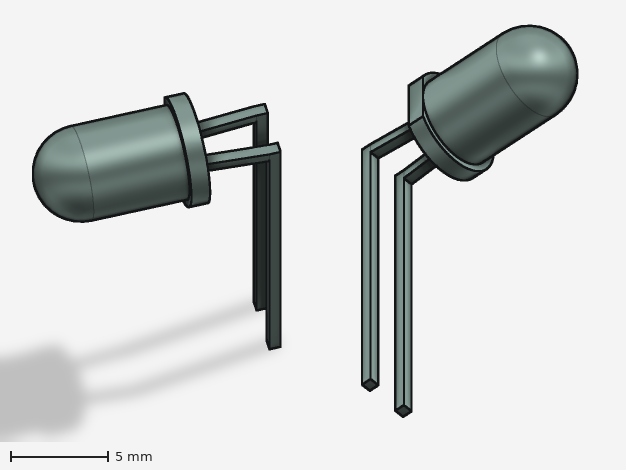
import cadquery as cq
import math


lens_diameter = 5.0
lens_radius = lens_diameter / 2
flange_diameter = 5.8
flange_thickness = 1.0
flat_offset = lens_radius
overall_length = 12.71

lead_size = 0.6
lead_pitch = 2.54
lead_exit_pitch = 2.04
lead_reach = 4.11
leg_bottom_z = -17.0

front_length = overall_length - lead_reach
dome_start = front_length - lens_radius


def make_lens():
    """Revolve the flange, cylinder and hemispherical dome as one profile."""
    flange_radius = flange_diameter / 2
    dome_middle = lens_radius * math.sin(math.pi / 4)
    return (
        cq.Workplane("XY")
        .lineTo(flange_radius, 0)
        .lineTo(flange_radius, -flange_thickness)
        .lineTo(lens_radius, -flange_thickness)
        .lineTo(lens_radius, -dome_start)
        .threePointArc((dome_middle, -dome_start - dome_middle), (0, -front_length))
        .close()
        .revolve(360, (0, 0, 0), (0, 1, 0))
    )


def cut_polarity_flat(lens):
    """Trim the -X side of the flange to the flat that marks the polarity."""
    trim = (
        cq.Workplane("XY")
        .box(flange_diameter, flange_thickness, flange_diameter)
        .translate((-flat_offset - flange_diameter / 2, -flange_thickness / 2, 0))
    )
    return lens.cut(trim)


def make_lead(side):
    """Make one bent lead; side is -1 or +1 for the -X or +X lead."""
    half = lead_size / 2
    exit_x = side * lead_exit_pitch / 2
    leg_x = side * lead_pitch / 2
    leg_front_y = lead_reach - lead_size

    arm = (
        cq.Workplane("XY", origin=(0, 0, -half))
        .moveTo(exit_x - half, 0)
        .lineTo(exit_x + half, 0)
        .lineTo(leg_x + half, leg_front_y)
        .lineTo(leg_x + half, lead_reach)
        .lineTo(leg_x - half, lead_reach)
        .lineTo(leg_x - half, leg_front_y)
        .close()
        .extrude(lead_size)
    )
    leg = (
        cq.Workplane("XY", origin=(leg_x, lead_reach - half, half))
        .rect(lead_size, lead_size)
        .extrude(leg_bottom_z - half)
    )
    return arm.union(leg)


result = cut_polarity_flat(make_lens())
for lead_side in (-1, 1):
    result = result.union(make_lead(lead_side))